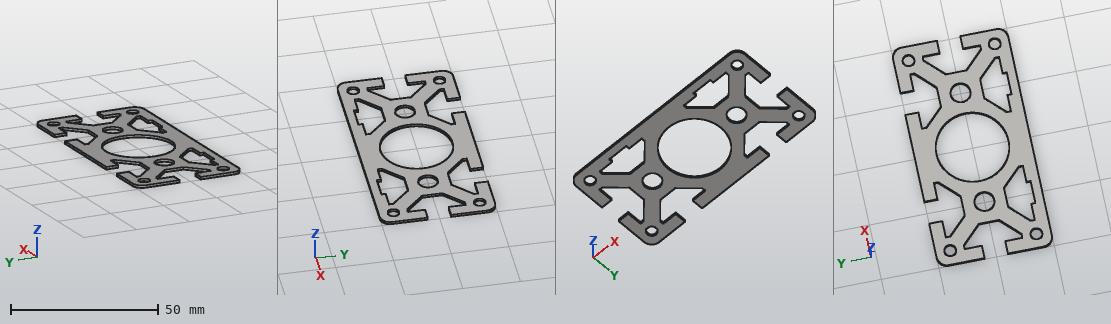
import cadquery as cq

length = 80.0
width = length / 2
thickness = 1.0
corner_radius = 3.5

core_spacing = length / 2
core_diameter = 6.8
bore_diameter = 25.0
corner_hole_diameter = 4.0
corner_hole_inset = 5.0

edge_distance = width / 2
slot_opening = 8.1
slot_width = 20.0
slot_floor_width = 7.0
slot_floor_distance = 7.5
lip_thickness = 4.6
closed_wall = 3.1
lip_distance = edge_distance - lip_thickness
flank_height = (slot_width - slot_floor_width) / 2
shoulder_distance = slot_floor_distance + flank_height


def slot_cutter(core_x, angle, mouth_distance):
    """T-slot around a core hole, pointing along angle, with its mouth ending at mouth_distance."""
    half_outline = [
        (slot_floor_distance, slot_floor_width / 2),
        (shoulder_distance, slot_width / 2),
        (lip_distance, slot_width / 2),
        (lip_distance, slot_opening / 2),
        (mouth_distance, slot_opening / 2),
    ]
    mirrored_half = [(x, -y) for x, y in reversed(half_outline)]
    return (
        cq.Workplane("XY")
        .polyline(half_outline + mirrored_half)
        .close()
        .extrude(thickness)
        .rotate((0, 0, 0), (0, 0, 1), angle)
        .translate((core_x, 0, 0))
    )


plate = (
    cq.Workplane("XY")
    .rect(length, width)
    .extrude(thickness)
    .edges("|Z")
    .fillet(corner_radius)
)

plate = plate.cut(cq.Workplane("XY").circle(bore_diameter / 2).extrude(thickness))
core_holes = (
    cq.Workplane("XY")
    .rarray(core_spacing, 0.8, 2, 1)
    .circle(core_diameter / 2)
    .extrude(thickness)
)
corner_holes = (
    cq.Workplane("XY")
    .rarray(length - 2 * corner_hole_inset, width - 2 * corner_hole_inset, 2, 2)
    .circle(corner_hole_diameter / 2)
    .extrude(thickness)
)
plate = plate.cut(core_holes).cut(corner_holes)

for core_x, end_angle in ((-core_spacing / 2, 180), (core_spacing / 2, 0)):
    plate = plate.cut(slot_cutter(core_x, end_angle, edge_distance))
    plate = plate.cut(slot_cutter(core_x, 90, edge_distance))
    plate = plate.cut(slot_cutter(core_x, -90, edge_distance - closed_wall))

result = plate